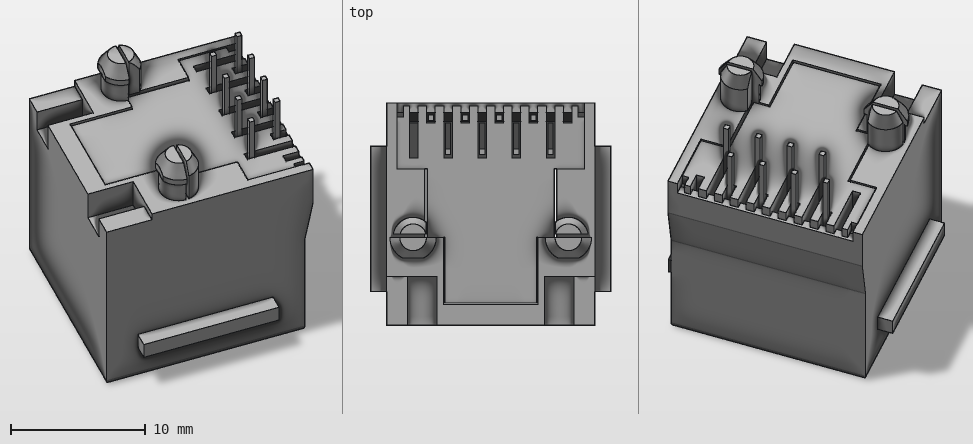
import cadquery as cq


total_width = 17.85
total_height = 19.83
body_half_width = 7.73
body_depth = 16.54
body_height = 16.35
bottom_fillet = 0.5

lower_back_y = 15.86
slope_bottom_z = 9.35
slope_top_z = 12.97
wall_thickness = 0.71
ledge_depth = 1.0
ledge_z = body_height - ledge_depth

tongue_half_width = 3.5
neck_half_width = 4.9
head_half_width = 6.98
tongue_front_y = 1.57
neck_front_y = 6.55
head_front_y = 11.62

rail_front_y = 2.5
rail_back_y = 13.33
rail_bottom_z = 3.07
rail_top_z = 4.38

notch_depth = 3.63
notch_inner_x = 3.99
notch_step_x = 6.19
notch_step_z = 15.76
notch_floor_z = 13.95

peg_x = 5.77
peg_y = neck_front_y
peg_shaft_radius = 1.49
peg_head_radius = 1.73
peg_tip_radius = 1.0
peg_flat_offset = 1.55
peg_slit = 0.24
peg_inner_x = 4.78
peg_head_z = 18.2
peg_cone_z = 18.7
peg_top_z = 19.75

tongue_clearance = 0.08
neck_clearance = 0.18
top_recess = 0.15
insert_height = body_height - top_recess
comb_back_y = 16.32
comb_half_width = 6.48
corner_relief_y = 15.49
slot_count = 10
slot_pitch = 1.27
slot_width = 0.63
slot_floor_z = slope_bottom_z
long_slot_front_y = 12.45
short_slot_front_y = 15.05

contact_size = 0.4
front_row_y = 12.89
back_row_y = 15.43

SIDES = (-1, 1)


def box(x_range, y_range, z_range):
    """Box between two X, two Y and two Z positions, each pair in either order."""
    ranges = (sorted(x_range), sorted(y_range), sorted(z_range))
    size = [high - low for low, high in ranges]
    corner = [low for low, high in ranges]
    return cq.Workplane("XY").box(*size, centered=False).translate(tuple(corner))


def yz_prism(points, x_center, width):
    """Prism with a Y-Z outline, centred on x_center."""
    outline = cq.Workplane("YZ").polyline(points).close()
    return outline.extrude(width / 2, both=True).translate((x_center, 0, 0))


def t_prism(tongue, neck, head, front_y, back_y, height):
    """Upright T-shaped prism from the half widths of its three stretches."""
    half = [
        (tongue, front_y),
        (tongue, neck_front_y),
        (neck, neck_front_y),
        (neck, head_front_y),
        (head, head_front_y),
        (head, back_y),
    ]
    mirrored = [(-x, y) for x, y in reversed(half)]
    return cq.Workplane("XY").polyline(half + mirrored).close().extrude(height)


def slot_x(index):
    return (index - (slot_count - 1) / 2) * slot_pitch


def is_long_slot(index):
    """Long and short slots alternate, starting with a long one."""
    return index % 2 == 0


def make_rear_zone():
    """Space behind the bent inner face of the back wall, below the ledge, kept out of the opening."""
    return yz_prism(
        [
            (body_depth, 0),
            (body_depth, ledge_z),
            (body_depth - wall_thickness, ledge_z),
            (body_depth - wall_thickness, slope_top_z),
            (lower_back_y - wall_thickness, slope_bottom_z),
            (lower_back_y - wall_thickness, 0),
        ],
        0,
        2 * body_half_width,
    )


def make_block():
    profile = [
        (0, 0),
        (lower_back_y, 0),
        (lower_back_y, slope_bottom_z),
        (body_depth, slope_top_z),
        (body_depth, body_height),
        (0, body_height),
    ]
    block = yz_prism(profile, 0, 2 * body_half_width)
    return block.faces("<Z").edges().fillet(bottom_fillet)


def make_rail(side):
    return box(
        (side * body_half_width, side * total_width / 2),
        (rail_front_y, rail_back_y),
        (rail_bottom_z, rail_top_z),
    )


def make_corner_notch(side):
    """Deep pocket beside a shallow step that reaches the outer side."""
    pocket = box(
        (side * notch_inner_x, side * notch_step_x), (0, notch_depth), (notch_floor_z, body_height)
    )
    step = box(
        (side * notch_step_x, side * body_half_width), (0, notch_depth), (notch_step_z, body_height)
    )
    return pocket.union(step)


def make_peg(side):
    """Split peg: the front half has a snap head with a flat, the back half is a plain cone tip."""
    front_profile = [
        (0, body_height),
        (peg_shaft_radius, body_height),
        (peg_shaft_radius, peg_head_z),
        (peg_head_radius, peg_head_z),
        (peg_head_radius, peg_cone_z),
        (peg_tip_radius, peg_top_z),
        (0, peg_top_z),
    ]
    back_profile = [
        (0, body_height),
        (peg_shaft_radius, body_height),
        (peg_shaft_radius, peg_cone_z),
        (peg_tip_radius, peg_top_z),
        (0, peg_top_z),
    ]
    x = side * peg_x
    outer_x = side * (peg_x + peg_head_radius)
    inner_x = side * (peg_x - peg_head_radius)
    z_range = (body_height, peg_top_z)

    def revolve(profile):
        peg = cq.Workplane("XZ").polyline(profile).close().revolve(360, (0, 0), (0, 1))
        return peg.translate((x, peg_y, 0))

    front_space = box((inner_x, outer_x), (peg_y - peg_flat_offset, peg_y), z_range)
    back_space = box(
        (side * peg_inner_x, outer_x), (peg_y + peg_slit, peg_y + peg_shaft_radius), z_range
    )
    front_half = revolve(front_profile).intersect(front_space)
    back_half = revolve(back_profile).intersect(back_space)
    return front_half, back_half


def make_housing():
    opening = t_prism(
        tongue_half_width,
        neck_half_width,
        head_half_width,
        tongue_front_y,
        body_depth,
        body_height,
    ).cut(make_rear_zone())
    housing = make_block().cut(opening)
    for side in SIDES:
        housing = housing.union(make_rail(side)).cut(make_corner_notch(side))
        for peg_half in make_peg(side):
            housing = housing.union(peg_half)
    return housing


def make_insert():
    """T-shaped insert with a comb of contact slots along its back edge."""
    insert = t_prism(
        tongue_half_width - tongue_clearance,
        neck_half_width - neck_clearance,
        head_half_width,
        tongue_front_y + tongue_clearance,
        comb_back_y,
        insert_height,
    ).cut(make_rear_zone())
    for side in SIDES:
        insert = insert.cut(
            box(
                (side * comb_half_width, side * head_half_width),
                (corner_relief_y, comb_back_y),
                (ledge_z, insert_height),
            )
        )
    for index in range(slot_count):
        x = slot_x(index)
        front_y = long_slot_front_y if is_long_slot(index) else short_slot_front_y
        insert = insert.cut(
            box(
                (x - slot_width / 2, x + slot_width / 2),
                (front_y, comb_back_y),
                (slot_floor_z, insert_height),
            )
        )
    x = slot_x(0)
    raised_floor = box(
        (x - slot_width / 2, x + slot_width / 2),
        (long_slot_front_y, short_slot_front_y),
        (slot_floor_z, slot_floor_z + contact_size),
    )
    return insert.union(raised_floor)


def make_front_contact(x):
    """L-shaped contact: an upright pin with a foot that runs back along the slot floor."""
    pin_front_y = front_row_y - contact_size / 2
    pin_back_y = front_row_y + contact_size / 2
    foot_top_z = slot_floor_z + contact_size
    profile = [
        (pin_front_y, slot_floor_z),
        (short_slot_front_y, slot_floor_z),
        (short_slot_front_y, foot_top_z),
        (pin_back_y, foot_top_z),
        (pin_back_y, total_height),
        (pin_front_y, total_height),
    ]
    return yz_prism(profile, x, contact_size)


def make_back_contact(x):
    """Straight pin whose bevelled lower end rests on the sloped inner face of the back wall."""
    pin_front_y = back_row_y - contact_size / 2
    pin_back_y = back_row_y + contact_size / 2
    slope = (slope_top_z - slope_bottom_z) / (body_depth - lower_back_y)
    slope_start_y = lower_back_y - wall_thickness
    profile = [
        (pin_front_y, slope_bottom_z + slope * (pin_front_y - slope_start_y)),
        (pin_back_y, slope_bottom_z + slope * (pin_back_y - slope_start_y)),
        (pin_back_y, total_height),
        (pin_front_y, total_height),
    ]
    return yz_prism(profile, x, contact_size)


def make_contact(index):
    if is_long_slot(index):
        return make_front_contact(slot_x(index))
    return make_back_contact(slot_x(index))


housing = make_housing()
insert = make_insert()
contacts = [make_contact(index) for index in range(1, slot_count - 1)]

result = cq.Compound.makeCompound(
    [housing.val(), insert.val(), *[contact.val() for contact in contacts]]
)